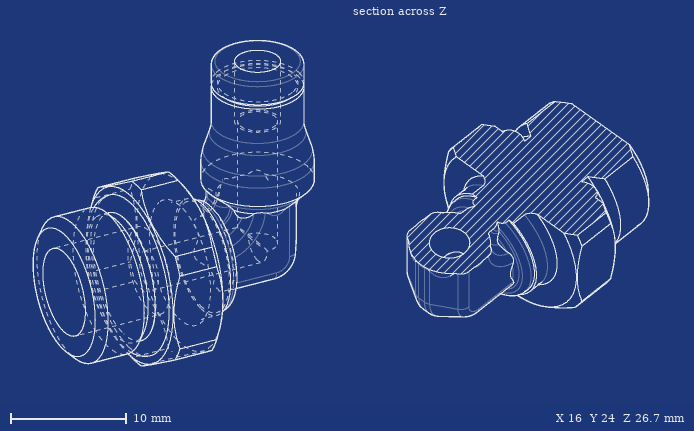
import cadquery as cq
import math


stem_top = 17.97
stem_radius = 4.05
stem_edge_round = 0.32
groove_top = 15.85
groove_bottom = 15.43
groove_radius = 3.5
flare_top = 12.03
flare_bottom = 8.1
flare_arc_height = 1.1
flare_arc_step = 0.175
collar_radius = 4.95
collar_bottom = 6.28
collar_cone_bottom = 5.65

root_radius = 3.65
root_tip_radius = 3.35
stem_root = 4.85
stem_root_tip = 3.7
hex_root = 4.2
hex_root_tip = 3.53
hex_root_flare = 4.06

body_half_width = 3.53
back_side_edge = 1.85
rib_side_edge = 1.68
slope_angle = math.radians(60)
body_round = 1.0
rib_half_width = 1.65
rib_front = 4.6
elbow_centre = 5.3
stem_leg_end = 6.42
hex_leg_end = 5.88

end_face = 19.07
thread_radius = 6.58
thread_start = 14.68
thread_chamfer = 0.83
neck_radius = 5.75
neck_end = 13.85
seal_radius = 7.22
seal_front = 13.4
hex_front = 12.57
hex_back = 7.65
hex_across_flats = 16.0
hex_corner_radius = 8.77
hex_chamfer_radius = 7.95
hex_chamfer_length = 0.65
shoulder_radius = 5.25
shoulder_back = 5.45
shoulder_front = 6.85
shoulder_flare_radius = 5.65
flange_radius = 5.0
flange_back = 4.5
flange_round = 0.53

passage_radius = 1.75
drill_tip_angle = math.radians(60)
tube_bore_radius = 2.0
tube_bore_bottom = 12.03
thread_bore_radius = 3.93
thread_bore_bottom = 10.7


def turn(profile):
    """Revolve a closed (radius, height) outline about the Z axis."""
    return profile.close().revolve(360, (0, 0, 0), (0, 1, 0))


def along_hex_axis(solid):
    """Lay a solid built along +Z down along -Y."""
    return solid.rotate((0, 0, 0), (1, 0, 0), 90)


def rod(radius, bottom, top):
    return cq.Workplane("XY").workplane(offset=bottom).circle(radius).extrude(top - bottom)


def make_stem():
    stem = turn(
        cq.Workplane("XZ")
        .moveTo(0, stem_top)
        .lineTo(stem_radius, stem_top)
        .lineTo(stem_radius, groove_top)
        .lineTo(groove_radius, groove_top)
        .lineTo(groove_radius, groove_bottom)
        .lineTo(stem_radius, groove_bottom)
        .lineTo(stem_radius, flare_top)
        .tangentArcPoint((stem_radius + flare_arc_step, flare_top - flare_arc_height), relative=False)
        .lineTo(collar_radius - flare_arc_step, flare_bottom + flare_arc_height)
        .tangentArcPoint((collar_radius, flare_bottom), relative=False)
        .lineTo(collar_radius, collar_bottom)
        .lineTo(collar_radius - (collar_bottom - collar_cone_bottom), collar_cone_bottom)
        .tangentArcPoint((root_radius, stem_root), relative=False)
        .lineTo(root_tip_radius, stem_root_tip)
        .lineTo(0, stem_root_tip)
    )
    return stem.faces(">Z").edges().fillet(stem_edge_round)


def slope_width(side_edge, offset):
    """Half width of the body on its sloped face at an offset from the leg axis."""
    return body_half_width - (offset - side_edge) * math.tan(slope_angle)


def leg_section(points):
    """Rounded half section of a leg, in the XY plane at Z = 0.

    The points are (half width, offset along Y) from the leg axis outwards; the
    first two bound the flat side of the leg.
    """
    mirrored = [(-width, offset) for width, offset in reversed(points)]
    blank = cq.Workplane("XY").polyline(points + mirrored).close().extrude(0.27)
    corners = blank.edges("|Z").filter(lambda edge: abs(edge.Center().y) > rib_side_edge / 2)
    return corners.fillet(body_round).faces("<Z").val()


def run(section, bottom, top):
    """Extrude a leg section along Z."""
    placed = section.moved(cq.Location(cq.Vector(0, 0, bottom)))
    return cq.Solid.extrudeLinear(placed, cq.Vector(0, 0, top - bottom))


def bend(section, centre):
    """Turn a leg section from the Z leg to the Y leg about the axis Y = -centre, Z = centre."""
    placed = section.moved(cq.Location(cq.Vector(0, 0, centre)))
    axis_start = cq.Vector(0, -centre, centre)
    axis_end = cq.Vector(0.27, -centre, centre)
    return cq.Solid.revolve(placed, -90.0, axis_start, axis_end)


def make_elbow():
    back = leg_section([
        (body_half_width, 0),
        (body_half_width, back_side_edge),
        (slope_width(back_side_edge, body_half_width), body_half_width),
    ])
    rib_foot = rib_side_edge + (body_half_width - rib_half_width) / math.tan(slope_angle)
    rib = leg_section([
        (body_half_width, 0),
        (body_half_width, -rib_side_edge),
        (rib_half_width, -rib_foot),
        (rib_half_width, -rib_front),
    ])

    elbow = cq.Workplane("XY")
    for leg_end, half_turn in ((stem_leg_end, 0), (hex_leg_end, 180)):
        for section, start in ((back, 0), (rib, elbow_centre)):
            leg = run(section, start, leg_end)
            elbow = elbow.add(leg.rotate(cq.Vector(0, 0, 0), cq.Vector(0, -1, 1), half_turn))

    core = (
        cq.Workplane("YZ")
        .lineTo(0, elbow_centre)
        .radiusArc((-elbow_centre, 0), elbow_centre)
        .close()
        .extrude(body_half_width, both=True)
    )
    return elbow.add(bend(back, 0)).add(bend(rib, elbow_centre)).combine().union(core)


def make_hexagon():
    """Hexagon with flats facing +X and -X, rounded corners and chamfered ends."""
    length = hex_front - hex_back
    corner_diameter = hex_across_flats / math.cos(math.pi / 6)
    hexagon = (
        cq.Workplane("XY")
        .workplane(offset=hex_back)
        .transformed(rotate=(0, 0, 90))
        .polygon(6, corner_diameter)
        .extrude(length)
    )
    envelope = turn(
        cq.Workplane("XZ")
        .moveTo(0, hex_back)
        .lineTo(hex_chamfer_radius, hex_back)
        .lineTo(hex_corner_radius, hex_back + hex_chamfer_length)
        .lineTo(hex_corner_radius, hex_front - hex_chamfer_length)
        .lineTo(hex_chamfer_radius, hex_front)
        .lineTo(0, hex_front)
    )
    return hexagon.intersect(envelope)


def make_threaded_end():
    """Flange, hexagon, seal and thread, built along +Z."""
    flange_face_radius = flange_radius - flange_round
    turned = turn(
        cq.Workplane("XZ")
        .moveTo(0, hex_root_tip)
        .lineTo(root_tip_radius, hex_root_tip)
        .lineTo(root_radius, hex_root)
        .tangentArcPoint((hex_root_flare, flange_back), relative=False)
        .lineTo(flange_face_radius, flange_back)
        .tangentArcPoint((flange_radius, flange_back + flange_round), relative=False)
        .lineTo(flange_radius, shoulder_back)
        .lineTo(shoulder_radius, shoulder_back)
        .lineTo(shoulder_radius, shoulder_front)
        .tangentArcPoint((shoulder_flare_radius, hex_back), relative=False)
        .lineTo(shoulder_flare_radius, hex_front)
        .lineTo(neck_radius, hex_front)
        .lineTo(neck_radius, neck_end)
        .lineTo(thread_radius, thread_start)
        .lineTo(thread_radius, end_face - thread_chamfer)
        .lineTo(thread_radius - thread_chamfer, end_face)
        .lineTo(0, end_face)
    )
    seal_round = seal_front - hex_front
    seal = (
        cq.Workplane("XZ")
        .moveTo(seal_radius - seal_round, hex_front)
        .circle(seal_round)
        .revolve(360, (0, 0, 0), (0, 1, 0))
    )
    return turned.union(make_hexagon()).union(seal)


def drilled_passage(length):
    """Drill along +Z from the origin, with its conical tip below the origin."""
    tip = passage_radius / math.tan(drill_tip_angle)
    return turn(
        cq.Workplane("XZ")
        .moveTo(0, -tip)
        .lineTo(passage_radius, 0)
        .lineTo(passage_radius, length)
        .lineTo(0, length)
    )


stem_bore = drilled_passage(stem_top).union(rod(tube_bore_radius, tube_bore_bottom, stem_top))
thread_bore = drilled_passage(end_face).union(rod(thread_bore_radius, thread_bore_bottom, end_face))

result = (
    make_stem()
    .union(make_elbow())
    .union(along_hex_axis(make_threaded_end()))
    .cut(stem_bore)
    .cut(along_hex_axis(thread_bore))
)